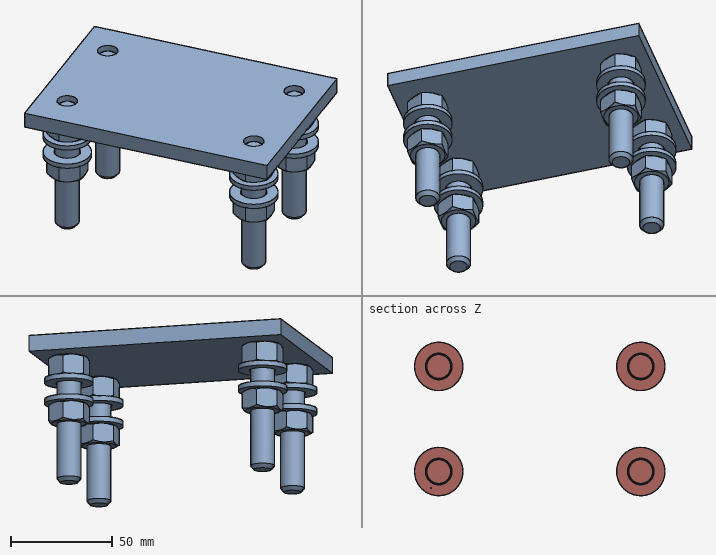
import cadquery as cq
import math

plate_length = 130.0
plate_width = 90.0
plate_thickness = 8.0
hole_diameter = 10.0

bolt_spacing_x = 100.0
bolt_spacing_y = 52.0

rod_diameter = 12.0
rod_tip_diameter = 8.6
rod_chamfer_height = 2.0
rod_top = -2.7
rod_bottom = -71.5

hexagon_sides = 6
hexagon_half_angle = 180 / hexagon_sides
nut_across_flats = 18.0
upper_nut_height = 10.7
lower_nut_height = 10.0
nut_face_diameter = 17.0
nut_chamfer_angle = 30.0

washer_diameter = 24.0
washer_bore = 13.0
washer_thickness = 2.5
washer_gap = 8.0

upper_nut_bottom = -plate_thickness - upper_nut_height
upper_washer_bottom = upper_nut_bottom - washer_thickness
lower_washer_bottom = upper_washer_bottom - washer_gap - washer_thickness
lower_nut_bottom = lower_washer_bottom - lower_nut_height


def revolved(profile):
    """Solid of revolution about Z from (radius, height) points."""
    return cq.Workplane("XZ").polyline(profile).close().revolve(360, (0, 0), (0, 1))


def make_rod():
    radius = rod_diameter / 2
    tip_radius = rod_tip_diameter / 2
    return revolved([
        (0, rod_bottom),
        (tip_radius, rod_bottom),
        (radius, rod_bottom + rod_chamfer_height),
        (radius, rod_top - rod_chamfer_height),
        (tip_radius, rod_top),
        (0, rod_top),
    ])


def make_nut(bottom, height):
    """Hexagon nut whose corners are turned down to a cone at both ends."""
    corner_radius = nut_across_flats / 2 / math.cos(math.radians(hexagon_half_angle))
    face_radius = nut_face_diameter / 2
    cone_height = (corner_radius - face_radius) * math.tan(math.radians(nut_chamfer_angle))
    top = bottom + height
    hexagon = (
        cq.Workplane("XY", origin=(0, 0, bottom))
        .polygon(hexagon_sides, 2 * corner_radius)
        .extrude(height)
        .rotate((0, 0, 0), (0, 0, 1), hexagon_half_angle)
    )
    turned_envelope = revolved([
        (0, bottom),
        (face_radius, bottom),
        (corner_radius, bottom + cone_height),
        (corner_radius, top - cone_height),
        (face_radius, top),
        (0, top),
    ])
    return hexagon.intersect(turned_envelope)


def make_washer(bottom):
    return (
        cq.Workplane("XY", origin=(0, 0, bottom))
        .circle(washer_diameter / 2)
        .circle(washer_bore / 2)
        .extrude(washer_thickness)
    )


def make_bolt():
    return (
        make_rod()
        .union(make_nut(upper_nut_bottom, upper_nut_height))
        .union(make_washer(upper_washer_bottom))
        .union(make_washer(lower_washer_bottom))
        .union(make_nut(lower_nut_bottom, lower_nut_height))
    )


bolt_positions = [
    (side_x * bolt_spacing_x / 2, side_y * bolt_spacing_y / 2)
    for side_x in (-1, 1)
    for side_y in (-1, 1)
]

result = (
    cq.Workplane("XY", origin=(0, 0, -plate_thickness))
    .rect(plate_length, plate_width)
    .extrude(plate_thickness)
    .pushPoints(bolt_positions)
    .circle(hole_diameter / 2)
    .cutThruAll()
)

bolt = make_bolt()
for x, y in bolt_positions:
    result = result.union(bolt.translate((x, y, 0)))